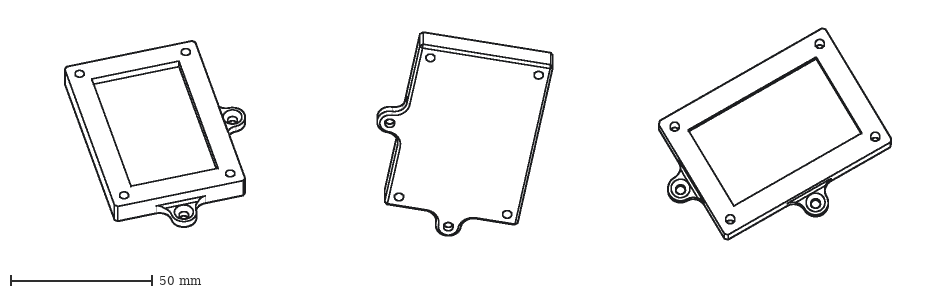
import cadquery as cq
import math

PLATE_LENGTH = 68.5
PLATE_WIDTH = 48.0
PLATE_HEIGHT = 9.0
EDGE_CHAMFER = 1.0

RIM_WIDTH = 8.0
POCKET_LENGTH = PLATE_LENGTH - 2 * RIM_WIDTH
POCKET_WIDTH = PLATE_WIDTH - 2 * RIM_WIDTH
POCKET_DEPTH = 3.0

CORNER_HOLE_DIAMETER = 3.2
CORNER_HOLE_INSET = 4.5

EAR_RADIUS = 4.5
EAR_HEIGHT = 4.0
EAR_FILLET_RADIUS = EAR_RADIUS
EAR_ROOT_CHAMFER = 1.0
EAR_OVERLAP = 2.0
SCREW_HOLE_DIAMETER = 3.4
COUNTERSINK_DIAMETER = 6.7
COUNTERSINK_ANGLE = 90.0

EAR_PLACES = [
    (PLATE_LENGTH / 2, 0, 0),
    (0, PLATE_WIDTH / 2, 90),
]


def place_on_wall(shape, place):
    """Move a shape built at the origin, pointing along +X, onto a plate wall."""
    x, y, angle = place
    return shape.rotate((0, 0, 0), (0, 0, 1), angle).translate((x, y, 0))


def make_plate():
    return cq.Workplane("XY").box(PLATE_LENGTH, PLATE_WIDTH, PLATE_HEIGHT, centered=(True, True, False))


def make_ear():
    """Round-ended ear, flared into the wall by arcs, with a sloped root above it."""
    flare = EAR_FILLET_RADIUS
    root_half_width = EAR_RADIUS + flare
    arc_mid_x = flare * (1 - math.sqrt(0.5))
    arc_mid_y = root_half_width - flare * math.sqrt(0.5)
    outline = (
        cq.Workplane("XY")
        .moveTo(-EAR_OVERLAP, -root_half_width)
        .lineTo(0, -root_half_width)
        .threePointArc((arc_mid_x, -arc_mid_y), (flare, -EAR_RADIUS))
        .threePointArc((flare + EAR_RADIUS, 0), (flare, EAR_RADIUS))
        .threePointArc((arc_mid_x, arc_mid_y), (0, root_half_width))
        .lineTo(-EAR_OVERLAP, root_half_width)
        .close()
    )
    ear_tip = flare + EAR_RADIUS
    root_top = EAR_HEIGHT + EAR_ROOT_CHAMFER
    side_profile = (
        cq.Workplane("XZ")
        .moveTo(-EAR_OVERLAP, 0)
        .lineTo(ear_tip, 0)
        .lineTo(ear_tip, EAR_HEIGHT)
        .lineTo(EAR_ROOT_CHAMFER, EAR_HEIGHT)
        .lineTo(0, root_top)
        .lineTo(-EAR_OVERLAP, root_top)
        .close()
        .extrude(root_half_width, both=True)
    )
    return outline.extrude(root_top).intersect(side_profile)


def make_pocket():
    return (
        cq.Workplane("XY", origin=(0, 0, PLATE_HEIGHT - POCKET_DEPTH))
        .rect(POCKET_LENGTH, POCKET_WIDTH)
        .extrude(POCKET_DEPTH)
    )


def make_corner_holes():
    spacing_x = PLATE_LENGTH - 2 * CORNER_HOLE_INSET
    spacing_y = PLATE_WIDTH - 2 * CORNER_HOLE_INSET
    return (
        cq.Workplane("XY")
        .rect(spacing_x, spacing_y, forConstruction=True)
        .vertices()
        .circle(CORNER_HOLE_DIAMETER / 2)
        .extrude(PLATE_HEIGHT)
    )


def make_screw_hole():
    """Through hole with a countersink opening at the top face of the ear."""
    hole_radius = SCREW_HOLE_DIAMETER / 2
    sink_radius = COUNTERSINK_DIAMETER / 2
    sink_depth = (sink_radius - hole_radius) / math.tan(math.radians(COUNTERSINK_ANGLE / 2))
    return (
        cq.Workplane("XZ")
        .lineTo(hole_radius, 0)
        .lineTo(hole_radius, EAR_HEIGHT - sink_depth)
        .lineTo(sink_radius, EAR_HEIGHT)
        .lineTo(0, EAR_HEIGHT)
        .close()
        .revolve(360, (0, 0, 0), (0, 1, 0))
        .translate((EAR_FILLET_RADIUS, 0, 0))
    )


body = make_plate()
for ear_place in EAR_PLACES:
    body = body.union(place_on_wall(make_ear(), ear_place))

corner_edges = body.edges("|Z").edges(cq.selectors.LengthNthSelector(-1))
body = corner_edges.add(body.faces("<Z").edges()).chamfer(EDGE_CHAMFER)

body = body.cut(make_pocket())
body = body.cut(make_corner_holes())
for ear_place in EAR_PLACES:
    body = body.cut(place_on_wall(make_screw_hole(), ear_place))

result = body